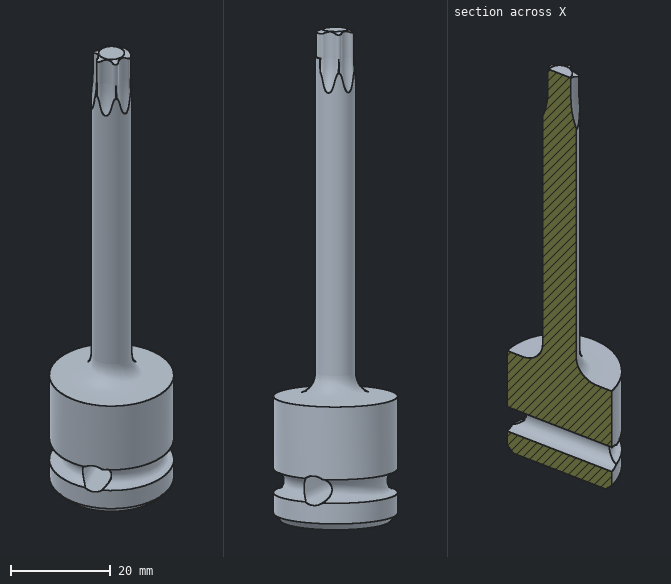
import cadquery as cq
import math

total_height = 100.0
body_radius = 12.5
body_top = 25.3
base_chamfer_width = 1.4
base_chamfer_height = 1.5

groove_center_z = 8.1
groove_width = 4.8
groove_depth = 2.1
pin_hole_diameter = 6.0

shank_radius = 4.1
flare_radius = 4.8

lobe_count = 6
tip_radius = 3.9
tip_length = 5.5
end_flat_radius = 2.6
end_cone_height = 0.5
lobe_radius = 0.6
flute_floor_radius = 2.8
flute_runout_radius = 18.5
flute_runout_angle = 45.0
cutter_margin = 1.0

tip_base = total_height - tip_length
flute_angle = 360.0 / lobe_count


def turned_blank():
    """Revolve the body, flare, shank and tip as one solid."""
    groove_bottom = groove_center_z - groove_width / 2
    groove_top = groove_center_z + groove_width / 2
    flare_top = body_top + flare_radius
    flare_outer = shank_radius + flare_radius
    flare_mid_offset = flare_radius * (1 - 0.5 ** 0.5)
    flare_mid = (shank_radius + flare_mid_offset, body_top + flare_mid_offset)
    return (
        cq.Workplane("XZ")
        .moveTo(0, 0)
        .lineTo(body_radius - base_chamfer_width, 0)
        .lineTo(body_radius, base_chamfer_height)
        .lineTo(body_radius, groove_bottom)
        .threePointArc((body_radius - groove_depth, groove_center_z), (body_radius, groove_top))
        .lineTo(body_radius, body_top)
        .lineTo(flare_outer, body_top)
        .threePointArc(flare_mid, (shank_radius, flare_top))
        .lineTo(shank_radius, tip_base)
        .lineTo(tip_radius, tip_base)
        .lineTo(tip_radius, total_height - end_cone_height)
        .lineTo(end_flat_radius, total_height)
        .lineTo(0, total_height)
        .close()
        .revolve(360, (0, 0, 0), (0, 1, 0))
    )


def polar(radius, angle):
    """Point at an angle in degrees, measured from +Y toward +X."""
    return (radius * math.sin(math.radians(angle)), radius * math.cos(math.radians(angle)))


def flute_section():
    """Space between two lobe crests: a hollow flute arc tangent to two half-lobe arcs."""
    half_angle = flute_angle / 2
    lobe_center_radius = tip_radius - lobe_radius
    lobe_x, lobe_y = polar(lobe_center_radius, half_angle)
    floor_gap = flute_floor_radius - lobe_y
    flute_radius = (lobe_x**2 + floor_gap**2 - lobe_radius**2) / (2 * (lobe_radius - floor_gap))
    flute_y = flute_floor_radius + flute_radius
    share = lobe_radius / (lobe_radius + flute_radius)
    tangent_x = lobe_x * (1 - share)
    tangent_y = lobe_y + (flute_y - lobe_y) * share

    crest_x, crest_y = polar(tip_radius, half_angle)
    outer_x, outer_y = polar(shank_radius + cutter_margin, half_angle)
    crest_direction = math.atan2(crest_y - lobe_y, crest_x - lobe_x)
    tangent_direction = math.atan2(tangent_y - lobe_y, tangent_x - lobe_x)
    middle = (crest_direction + tangent_direction) / 2
    mid_x = lobe_x + lobe_radius * math.cos(middle)
    mid_y = lobe_y + lobe_radius * math.sin(middle)
    return (
        cq.Workplane("XY", origin=(0, 0, tip_base))
        .moveTo(-outer_x, outer_y)
        .lineTo(-crest_x, crest_y)
        .threePointArc((-mid_x, mid_y), (-tangent_x, tangent_y))
        .threePointArc((0, flute_floor_radius), (tangent_x, tangent_y))
        .threePointArc((mid_x, mid_y), (crest_x, crest_y))
        .lineTo(outer_x, outer_y)
        .close()
    )


def flute_cutter():
    """Flute running straight along the tip, then curving outward into the shank."""
    pivot_y = flute_floor_radius + flute_runout_radius
    straight = flute_section().extrude(tip_length)
    runout = flute_section().revolve(flute_runout_angle, (0, pivot_y, 0), (1, pivot_y, 0))
    return straight.union(runout)


def pin_hole():
    """Cross hole along Y through the groove."""
    return (
        cq.Workplane("XZ", origin=(0, 0, groove_center_z))
        .circle(pin_hole_diameter / 2)
        .extrude(body_radius, both=True)
    )


result = turned_blank().cut(pin_hole())
for index in range(lobe_count):
    result = result.cut(flute_cutter().rotate((0, 0, 0), (0, 0, 1), index * flute_angle))